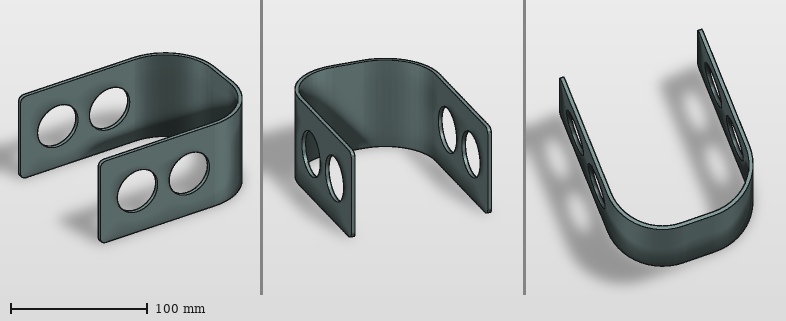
import cadquery as cq

width = 111.0
length = 143.0
height = 70.0
thickness = 3.0

bend_radius = 43.0
inner_bend_radius = bend_radius - thickness

corner_radius = 5.0

hole_diameter = 35.0
hole_spacing = 45.0
end_to_first_hole = 32.5


def rounded_block(block_width, block_length, back_radius):
    """Block from the open end (Y = 0) to the back, with both back edges rounded."""
    return (
        cq.Workplane("XY")
        .box(block_width, block_length, height, centered=(True, False, True))
        .edges("|Z and >Y")
        .fillet(back_radius)
    )


outer = rounded_block(width, length, bend_radius)
inner = rounded_block(width - 2 * thickness, length - thickness, inner_bend_radius)
strap = outer.cut(inner)

strap = strap.edges("|X and <Y").fillet(corner_radius)

hole_centres = [(end_to_first_hole + i * hole_spacing, 0) for i in range(2)]
holes = (
    cq.Workplane("YZ")
    .pushPoints(hole_centres)
    .circle(hole_diameter / 2)
    .extrude(width, both=True)
)

result = strap.cut(holes)